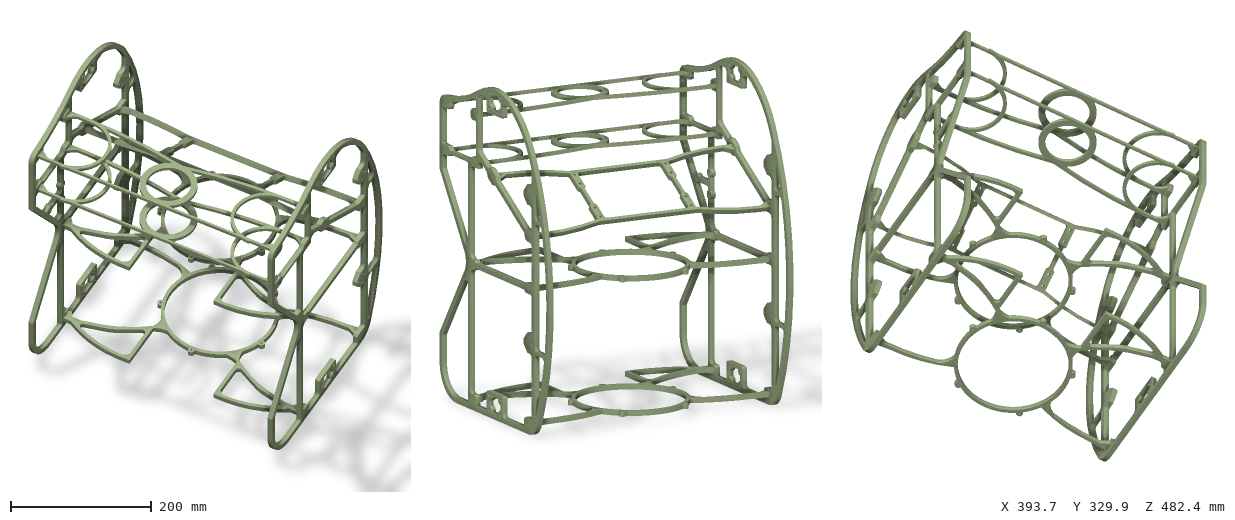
import cadquery as cq
import math

WIDTH = 393.7
DEPTH = 329.85
HEIGHT = 482.39
PLATE = 7.62
SHELF = 5.08
WALL_X = WIDTH / 2 - PLATE
RIM = 8.0
HALF_BAR = PLATE / 2

PEAK_Y = 162.7
CROWN_R, CROWN_END = 112.4, 0.557
SHOULDER_R, SHOULDER_END = 153.55, 1.08
BACK_R = 452.74
HEEL_R = 28.0
TOE_R = 50.8
BROW_R, BROW_END = 95.0, 0.47
SADDLE_R = 285.0
FRONT_TOP_R = 14.0
NOTCH_R = 25.4
NOTCH_ANGLE = math.radians(54.5)
MID_Z = 212.5
NOTCH_REACH = 85.0

BACK_COLUMN = (277.0, 286.5)
TOP_COLUMN = (110.0, 116.0)
FRONT_COLUMN = (86.0, 92.0)
TILT = math.radians(30)
TILT_Y, TILT_Z = 213.0, 320.3
UPPER_SHELF_Z = 432.2
LOWER_SHELF_Z = 361.7
LOWER_RING_Z = 16.0
SHELF_PAD = 8.3
LOWER_SHELF_PAD_BOTTOM = 355.4
RING_PAD = 7.4
SMALL_R = 3.0
ROOT_R = 6.0
EDGE_R = 1.0
CORNER_R, FLARE_R, TIP_R = 5.0, 9.0, 4.0
PAD_CHAMFER = 3.0
SHELF_TAB_CHAMFER = 4.0

MOUNT_Y = 267.8
MOUNT_ZS = (349.6, 133.3)
MOUNT_REACH, MOUNT_FLAT = 14.8, 3.9
MOUNT_HOLE_OFFSET = 9.3
SCREW_D = 3.6

WINDOW_Y = 165.8
WINDOW_ZS = (461.75, 20.65)
WINDOW_HALF_Y, WINDOW_HALF_Z = 17.6, 12.05
WINDOW_HOLE_Z = 10.9
WINDOW_BOSS_R = 7.0
FRAME_HALF_Y, FRAME_HALF_Z = 24.1, 17.5
CEILING_Z = 464.6

BRACE_Z = 284.8
BRACE_BOSS_Y, BRACE_BOSS_R, BRACE_HOLE_D = 50.9, 7.4, 3.6
BRACE_STEP = 1.8
COLUMN_BOSS_OFFSET, COLUMN_BOSS_R, COLUMN_HOLE_D = 15.875, 6.5, 5.5

FOOT_ENDS = (170.0, 143.5)
FOOT_FLAT = (163.0, 150.5)
FOOT_HALF = 9.2
TILT_TAB_TOP, TILT_TAB_TOP_Y = 298.5, 259.0
TILT_TAB_BOTTOM, TILT_TAB_Y = 280.0, 254.5
TILT_TAB_HEEL_Y, TILT_TAB_HEEL_Z = 259.0, 281.5
KNEE_Y = 126.0
RING_TAB_FRONT, RING_TAB_BACK = 108.3, 254.8
SHELF_TABS = (30.5, 93.5)
SLOT_TOP_Y, SLOT_TOP_Z = 103.0, 455.0
POCKET_TIP = 27.4
BACK_SLOTS = ((29.9, 119.8, 1.0, 6.0), (125.3, 310.7, 6.0, 6.0), (316.3, 362.6, 6.5, 1.0))

TAB_LENGTH = 14.0
SHELF_FRONT_Y, SHELF_BACK_Y = 13.9, 112.0
SHELF_BAR = 3.6
SHELF_FRONT_TAB_Y, SHELF_BACK_TAB_Y = 27.0, 97.5
TAB_DROP, FRONT_TAB_STEP = 3.5, 9.0
SHELF_RING = 5.08
BOW_START_X, BOW_R = 165.0, 820.0
SIDE_RING_X, SIDE_RING_Y, SIDE_RING_R = 152.5, 62.0, 49.8
MID_RING_Y, MID_RING_R, MID_BORE_R = 54.2, 41.275, 31.75

BIG_RING_Y, BIG_RING_R, BIG_BORE_R = 208.0, 84.2, 79.0
EAR_COUNT, EAR_CIRCLE_R, EAR_R, EAR_HOLE_D = 5, 85.5, 5.0, 3.0
BAR_X, BAR_END_Y, BAR_FOOT_X = 70.5, 62.8, 88.0
ARM = 5.5
ARM_TAB_X, ARM_TAB_BACK_Y = 184.0, 106.0
ARM_TAB_FRONT_X, ARM_TAB_FRONT_Y = 177.0, 89.5
ARM_NECK_X, ARM_RISE_X, ARM_NECK_Y = 178.0, 165.0, 97.5
NODE_END_Y = 133.0
OPENING_BAR_Y = (74.5, 119.0)
REAR_TAB_Y = (259.5, 273.0)

ARM_BACK_CURVE = [(-142.7, 102.5), (-111, 113), (-81.6, 128.7), (-70, 136.5)]
ARM_FRONT_MIDDLE = (-133, 69.8)
NODE_BACK_ARC = [(-66, 148), (-73, 170)]
NODE_FRONT_ARC = [(-40, 137), (-54, 138)]
OPENING_BACK_CURVE = [(-160.3, 93), (-141, 97.6), (-118.6, 103.5), (-94.5, 115.8), (-82, 122.5)]
OPENING_BACK_CORNER = (-76, 123)
OPENING_FRONT_CORNER = (-77, 70)
OPENING_FRONT_ARC = [(-86, 67.6), (-122.4, 72.4), (-157.6, 85)]
OPENING_TIP = (-161.5, 89.5)
REAR_ARM_BACK_ARC = [(-165, 271), (-120, 267), (-70, 252)]
REAR_NODE_ARC = [(-79, 230), (-83.5, 247.5), (-95, 257)]
REAR_ARM_FRONT_ARC = [(-135, 264), (-176, 266)]

POST_X, POST_WIDE, POST_NARROW = 73.3, 11.1, 5.08
POST_NECK = 19.4
POST_HOLE_MID, POST_HOLE_PITCH, POST_HOLE_D = 35.1, 19.05, 4.0
RAIL = 5.08
RAIL_OUTER, ARM_OUTER = 53.7, 67.3
ARM_BEND_X = 173.0
ARM_BOW_X, ARM_BOW = 122.4, 63.3
POST_GUSSET = 2.5
FRAME_TAB, FRAME_TAB_STEP = 12.0, 9.0


def rounded_outline(plane, points):
    """Closed outline through (u, v, radius) corners, each rounded by its radius."""
    starts, middles, ends = [], [], []
    count = len(points)
    for i, (u, v, radius) in enumerate(points):
        corner = cq.Vector(u, v)
        before = (cq.Vector(*points[i - 1][:2]) - corner).normalized()
        after = (cq.Vector(*points[(i + 1) % count][:2]) - corner).normalized()
        half = before.getAngle(after) / 2
        setback = radius / math.tan(half)
        bisector = (before + after).normalized()
        starts.append(corner + before * setback)
        ends.append(corner + after * setback)
        middles.append(corner + bisector * (radius / math.sin(half) - radius))
    path = cq.Workplane(plane).moveTo(*ends[-1].toTuple()[:2])
    for i in range(count):
        path = path.lineTo(*starts[i].toTuple()[:2])
        if points[i][2] > 0:
            path = path.threePointArc(middles[i].toTuple()[:2], ends[i].toTuple()[:2])
    return path.close()


def panel_prism(points):
    return rounded_outline("YZ", points).extrude(PLATE)


def panel_discs(centres, diameter):
    return cq.Workplane("YZ").pushPoints(centres).circle(diameter / 2).extrude(PLATE)


def polar(centre, radius, angle):
    """Point on a circle, with the angle measured from straight up toward the back."""
    return (centre[0] + radius * math.sin(angle), centre[1] + radius * math.cos(angle))


def mirrored(half):
    return half.union(half.mirror("YZ"))


def panel_outline():
    crown = (PEAK_Y, HEIGHT - CROWN_R)
    shoulder = polar(crown, CROWN_R - SHOULDER_R, CROWN_END)
    back_z = polar(shoulder, SHOULDER_R - BACK_R, SHOULDER_END)[1]
    back = (DEPTH - BACK_R, back_z)
    heel_drop = back_z - HEEL_R
    heel = (back[0] + math.sqrt((BACK_R - HEEL_R) ** 2 - heel_drop ** 2), HEEL_R)
    heel_start = math.atan2(heel[0] - back[0], heel[1] - back[1])

    brow = (PEAK_Y, HEIGHT - BROW_R)
    saddle = polar(brow, BROW_R + SADDLE_R, -BROW_END)
    corner_reach = SADDLE_R + FRONT_TOP_R
    corner_drop = math.sqrt(corner_reach ** 2 - (FRONT_TOP_R - saddle[0]) ** 2)
    corner = (FRONT_TOP_R, saddle[1] - corner_drop)
    saddle_end = math.atan2(corner[0] - saddle[0], corner[1] - saddle[1])
    saddle_start = math.pi - BROW_END

    notch = (NOTCH_REACH - NOTCH_R / math.sin(NOTCH_ANGLE), MID_Z)
    notch_rise = NOTCH_REACH * math.tan(NOTCH_ANGLE)
    tangent_y = notch[0] + NOTCH_R * math.sin(NOTCH_ANGLE)
    tangent_z = NOTCH_R * math.cos(NOTCH_ANGLE)

    def arc(path, centre, radius, start, end):
        return path.threePointArc(polar(centre, radius, (start + end) / 2), polar(centre, radius, end))

    path = cq.Workplane("YZ").moveTo(PEAK_Y, HEIGHT)
    path = arc(path, crown, CROWN_R, 0, CROWN_END)
    path = arc(path, shoulder, SHOULDER_R, CROWN_END, SHOULDER_END)
    path = arc(path, back, BACK_R, SHOULDER_END, heel_start)
    path = arc(path, heel, HEEL_R, heel_start, math.pi)
    path = path.lineTo(TOE_R, 0)
    path = arc(path, (TOE_R, TOE_R), TOE_R, math.pi, 1.5 * math.pi)
    path = path.lineTo(0, MID_Z - notch_rise).lineTo(tangent_y, MID_Z - tangent_z)
    path = path.threePointArc((notch[0] + NOTCH_R, MID_Z), (tangent_y, MID_Z + tangent_z))
    path = path.lineTo(0, MID_Z + notch_rise).lineTo(0, corner[1])
    path = arc(path, corner, FRONT_TOP_R, -math.pi / 2, saddle_end - math.pi)
    path = arc(path, saddle, SADDLE_R, saddle_end, saddle_start)
    path = arc(path, brow, BROW_R, -BROW_END, 0)
    return path.close()


def on_tilt(y, offset=0.0, side=0):
    """Point on the tilted bar's centre line at y, moved off it; side=1 or -1 keeps the same y."""
    z = TILT_Z + (TILT_Y - y) * math.tan(TILT)
    if side:
        return (y, z + side * HALF_BAR / math.cos(TILT))
    return (y + offset * math.sin(TILT), z + offset * math.cos(TILT))


def tilt_foot(side):
    """Swelling of the tilted bar around the front feet of the tilted frame, rear end first."""
    return [
        (*on_tilt(FOOT_ENDS[0], side * HALF_BAR), EDGE_R),
        (*on_tilt(FOOT_FLAT[0], side * FOOT_HALF), ROOT_R),
        (*on_tilt(FOOT_FLAT[1], side * FOOT_HALF), ROOT_R),
        (*on_tilt(FOOT_ENDS[1], side * HALF_BAR), EDGE_R),
    ]


def diamond_mount(mid_z):
    """Pocket corners that leave the diamond mount on the back column, top to bottom."""
    root_y, top_y, tip_y = BACK_COLUMN[0], MOUNT_Y - MOUNT_FLAT, MOUNT_Y - MOUNT_REACH
    upper = [
        (root_y, mid_z + MOUNT_REACH, ROOT_R),
        (top_y, mid_z + MOUNT_REACH, 0),
        (tip_y, mid_z + MOUNT_FLAT, 0),
    ]
    lower = [(y, 2 * mid_z - z, radius) for y, z, radius in reversed(upper)]
    return upper + lower


def window_frame(base_z, lip_z):
    """Pocket corners that leave the frame around a window, front to back."""
    front_y, back_y = WINDOW_Y - FRAME_HALF_Y, WINDOW_Y + FRAME_HALF_Y
    return [
        (front_y, base_z, ROOT_R),
        (front_y, lip_z, SMALL_R),
        (back_y, lip_z, SMALL_R),
        (back_y, base_z, ROOT_R),
    ]


def notch_side(z):
    """Y of the band's inner edge along the notch sides at height z."""
    rise = abs(z - MID_Z) / math.tan(NOTCH_ANGLE)
    return NOTCH_REACH - rise + RIM / math.sin(NOTCH_ANGLE)


def upper_back_pocket():
    column = BACK_COLUMN[0]
    front = TOP_COLUMN[1]
    lip_z = WINDOW_ZS[0] - FRAME_HALF_Z
    points = [(column, CEILING_Z, 0)]
    points += diamond_mount(MOUNT_ZS[0])
    points += [(column, TILT_TAB_TOP, EDGE_R), (*on_tilt(TILT_TAB_TOP_Y, side=1), ROOT_R)]
    points += tilt_foot(1)
    points += [(*on_tilt(front, side=1), FLARE_R), (front, CEILING_Z, CORNER_R)]
    return panel_prism(points + window_frame(CEILING_Z, lip_z))


def middle_pocket():
    column, front = BACK_COLUMN[0], FRONT_COLUMN[1]
    pad_top = MID_Z + RING_PAD
    bar_top = MID_Z + HALF_BAR
    points = [(column, TILT_TAB_BOTTOM, ROOT_R), (TILT_TAB_HEEL_Y, TILT_TAB_HEEL_Z, ROOT_R)]
    points += [(*on_tilt(TILT_TAB_Y, side=-1), EDGE_R)]
    points += tilt_foot(-1)
    points += [
        (*on_tilt(KNEE_Y, side=-1), ROOT_R),
        (TOP_COLUMN[1], on_tilt(KNEE_Y, side=-1)[1], ROOT_R),
        (TOP_COLUMN[1], LOWER_SHELF_PAD_BOTTOM, 0),
        (front, LOWER_SHELF_PAD_BOTTOM, CORNER_R),
        (front, pad_top, FLARE_R),
        (RING_TAB_FRONT - PAD_CHAMFER, pad_top, EDGE_R / 2),
        (RING_TAB_FRONT, bar_top, EDGE_R / 2),
        (RING_TAB_BACK, bar_top, EDGE_R / 2),
        (RING_TAB_BACK + PAD_CHAMFER, pad_top, EDGE_R / 2),
        (column, pad_top, SMALL_R),
    ]
    return panel_prism(points)


def lower_pocket():
    column, front = BACK_COLUMN[0], FRONT_COLUMN[1]
    pad_bottom = MID_Z - RING_PAD
    bar_bottom = MID_Z - HALF_BAR
    pad_top = LOWER_RING_Z + RING_PAD
    points = [
        (RING_TAB_BACK, bar_bottom, EDGE_R / 2),
        (RING_TAB_FRONT, bar_bottom, EDGE_R / 2),
        (RING_TAB_FRONT - PAD_CHAMFER, pad_bottom, EDGE_R / 2),
        (front, pad_bottom, FLARE_R),
        (front, pad_top, ROOT_R),
        (RING_TAB_FRONT - PAD_CHAMFER, pad_top, EDGE_R / 2),
        (RING_TAB_FRONT, pad_top - PAD_CHAMFER, EDGE_R / 2),
        (RING_TAB_FRONT, RIM, 0),
    ]
    points += window_frame(RIM, WINDOW_ZS[1] + FRAME_HALF_Z)
    points += [
        (RING_TAB_BACK, RIM, 0),
        (RING_TAB_BACK, pad_top - PAD_CHAMFER, EDGE_R / 2),
        (RING_TAB_BACK + PAD_CHAMFER, pad_top, EDGE_R / 2),
        (column, pad_top, SMALL_R),
    ]
    points += reversed(diamond_mount(MOUNT_ZS[1]))
    points += [(column, pad_bottom, SMALL_R), (RING_TAB_BACK + PAD_CHAMFER, pad_bottom, EDGE_R / 2)]
    return panel_prism(points)


def front_box_pocket():
    column = TOP_COLUMN[0]
    floor = LOWER_SHELF_Z + SHELF_PAD
    under = UPPER_SHELF_Z - SHELF_PAD
    over = UPPER_SHELF_Z + SHELF_PAD
    bar_top = LOWER_SHELF_Z + SHELF / 2
    back_tip, front_tip = SHELF_TABS[1], SHELF_TABS[0]
    points = [
        (column, floor, SMALL_R),
        (back_tip + SHELF_TAB_CHAMFER, floor, EDGE_R),
        (back_tip - EDGE_R, bar_top, 0),
        (front_tip + EDGE_R, bar_top, 0),
        (front_tip - SHELF_TAB_CHAMFER, floor, EDGE_R),
        (RIM, floor, SMALL_R),
        (RIM, under, SMALL_R),
        (front_tip - PAD_CHAMFER, under, EDGE_R),
        (front_tip, under + SHELF_TAB_CHAMFER, 0),
        (front_tip, HEIGHT, 0),
        (SLOT_TOP_Y, HEIGHT, 0),
        (SLOT_TOP_Y, SLOT_TOP_Z, 0),
        (column, SLOT_TOP_Z, SMALL_R),
        (column, over, SMALL_R),
        (back_tip + SHELF_TAB_CHAMFER, over, EDGE_R),
        (back_tip, over - SHELF_TAB_CHAMFER, 0),
        (back_tip, under + SHELF_TAB_CHAMFER, 0),
        (back_tip + SHELF_TAB_CHAMFER, under, EDGE_R),
        (column, under, SMALL_R),
    ]
    return panel_prism(points)


def front_pockets(braced):
    """Pockets between the front column and the notch sides, split by the brace on a braced panel."""
    column = FRONT_COLUMN[0]
    bar_bottom = LOWER_SHELF_Z - SHELF / 2
    corner_rise = (NOTCH_REACH + RIM / math.sin(NOTCH_ANGLE) - RIM) * math.tan(NOTCH_ANGLE)
    upper_tip, lower_tip = MID_Z + POCKET_TIP, MID_Z - POCKET_TIP
    above = [
        (column, bar_bottom, SMALL_R),
        (SHELF_TABS[0], bar_bottom, 0),
        (SHELF_TABS[0] - PAD_CHAMFER, LOWER_SHELF_PAD_BOTTOM, EDGE_R),
        (RIM, LOWER_SHELF_PAD_BOTTOM, ROOT_R),
        (RIM, MID_Z + corner_rise, 0),
    ]
    tip = [(notch_side(upper_tip), upper_tip, TIP_R), (column, upper_tip, TIP_R)]
    below = [
        (column, lower_tip, TIP_R),
        (notch_side(lower_tip), lower_tip, TIP_R),
        (RIM, MID_Z - corner_rise, 0),
        (RIM, RIM, TOE_R - RIM),
        (column, RIM, SMALL_R),
    ]
    if not braced:
        return [panel_prism(above + tip), panel_prism(below)]

    brace_top, brace_bottom = BRACE_Z + HALF_BAR, BRACE_Z - HALF_BAR
    step_top = brace_top + BRACE_STEP
    brace_edge = [
        (notch_side(step_top), step_top, 0),
        (BRACE_BOSS_Y, step_top, 0),
        (BRACE_BOSS_Y, brace_top, 0),
        (column, brace_top, SMALL_R),
    ]
    between = [(column, brace_bottom, SMALL_R), (notch_side(brace_bottom), brace_bottom, SMALL_R)]
    return [panel_prism(above + brace_edge), panel_prism(between + tip), panel_prism(below)]


def back_slots(inside):
    """Three slots between the back column and the curved back."""
    slots = []
    for bottom, top, bottom_r, top_r in BACK_SLOTS:
        box = cq.Workplane("YZ").moveTo(BACK_COLUMN[1], bottom).lineTo(DEPTH, bottom)
        box = box.lineTo(DEPTH, top).lineTo(BACK_COLUMN[1], top).close().extrude(PLATE)
        slot = box.intersect(inside)
        slot = slot.edges("|X").edges("<Z").fillet(bottom_r)
        slot = slot.edges("|X").edges(">Z").fillet(top_r)
        slots.append(slot)
    return slots


def window(mid_z):
    """Window opening that stays clear of the four screw bosses at its corners."""
    opening = cq.Workplane("YZ").center(WINDOW_Y, mid_z).rect(2 * WINDOW_HALF_Y, 2 * WINDOW_HALF_Z)
    return opening.extrude(PLATE).cut(panel_discs(window_screws(mid_z), 2 * WINDOW_BOSS_R))


def window_screws(mid_z):
    return [
        (WINDOW_Y + side * WINDOW_HALF_Y, mid_z + end * WINDOW_HOLE_Z)
        for side in (-1, 1)
        for end in (-1, 1)
    ]


def mount_screws(mid_z):
    reach = MOUNT_HOLE_OFFSET
    offsets = [(reach, 0), (-reach, 0), (0, reach), (0, -reach)]
    return [(MOUNT_Y + y, mid_z + z) for y, z in offsets]


def add_hinge_bosses(panel):
    """Bored bosses on the front column and on the brace between them."""
    column_y = sum(FRONT_COLUMN) / 2
    column_holes = [(column_y, BRACE_Z + side * COLUMN_BOSS_OFFSET) for side in (-1, 1)]
    brace_hole = [(BRACE_BOSS_Y, BRACE_Z)]
    panel = panel.union(panel_discs(column_holes, 2 * COLUMN_BOSS_R))
    panel = panel.union(panel_discs(brace_hole, 2 * BRACE_BOSS_R))
    panel = panel.cut(panel_discs(column_holes, COLUMN_HOLE_D))
    return panel.cut(panel_discs(brace_hole, BRACE_HOLE_D))


def side_panel(braced):
    """Side panel standing on the YZ plane, its thickness toward +X."""
    panel = panel_outline().extrude(PLATE)
    inside = panel_outline().offset2D(-RIM).extrude(PLATE)
    pockets = [upper_back_pocket(), middle_pocket(), lower_pocket(), front_box_pocket()]
    for pocket in pockets + front_pockets(braced):
        panel = panel.cut(pocket.intersect(inside))
    for slot in back_slots(inside):
        panel = panel.cut(slot)
    if braced:
        panel = add_hinge_bosses(panel)
    for mid_z in WINDOW_ZS:
        panel = panel.cut(window(mid_z)).cut(panel_discs(window_screws(mid_z), SCREW_D))
    for mid_z in MOUNT_ZS:
        panel = panel.cut(panel_discs(mount_screws(mid_z), SCREW_D))
    return panel


def shelf(mid_z):
    """Shelf with a middle ring and a half ring at each wall between a front and a bowed rear bar."""
    plane = cq.Workplane("XY").workplane(offset=mid_z - SHELF / 2)

    front_bar = plane.center(0, SHELF_FRONT_Y + SHELF_BAR / 2).rect(2 * WALL_X, SHELF_BAR).extrude(SHELF)
    bow_y = SHELF_BACK_Y - BOW_R
    bow = math.asin(BOW_START_X / BOW_R)
    inner_r = BOW_R - SHELF_RING
    inner_y = SHELF_BACK_Y - SHELF_RING
    outer_mid = (-BOW_START_X + BOW_R * math.sin(bow / 2), bow_y + BOW_R * math.cos(bow / 2))
    inner_mid = (-BOW_START_X + inner_r * math.sin(bow / 2), bow_y + inner_r * math.cos(bow / 2))
    inner_end = bow_y + math.sqrt(inner_r ** 2 - BOW_START_X ** 2)
    rear_half = (
        plane.moveTo(-WALL_X, SHELF_BACK_Y)
        .lineTo(-BOW_START_X, SHELF_BACK_Y)
        .threePointArc(outer_mid, (0, bow_y + BOW_R * math.cos(bow)))
        .lineTo(0, inner_end)
        .threePointArc(inner_mid, (-BOW_START_X, inner_y))
        .lineTo(-WALL_X + TAB_LENGTH, inner_y)
        .lineTo(-WALL_X + TAB_LENGTH / 2, inner_y - TAB_DROP)
        .lineTo(-WALL_X, SHELF_BACK_TAB_Y)
        .close()
        .extrude(SHELF)
    )
    front_tab = (
        plane.moveTo(-WALL_X, SHELF_FRONT_Y)
        .lineTo(-WALL_X, SHELF_FRONT_TAB_Y)
        .lineTo(-WALL_X + TAB_LENGTH / 2, SHELF_FRONT_Y + FRONT_TAB_STEP)
        .lineTo(-WALL_X + TAB_LENGTH, SHELF_FRONT_Y + SHELF_BAR)
        .lineTo(-WALL_X + TAB_LENGTH, SHELF_FRONT_Y)
        .close()
        .extrude(SHELF)
    )
    ring_plane = plane.center(-SIDE_RING_X, SIDE_RING_Y)
    side_ring = ring_plane.circle(SIDE_RING_R).circle(SIDE_RING_R - SHELF_RING).extrude(SHELF)
    open_half = plane.center(-SIDE_RING_X - SIDE_RING_R, SIDE_RING_Y)
    side_ring = side_ring.cut(open_half.rect(2 * SIDE_RING_R, 3 * SIDE_RING_R).extrude(SHELF))

    shape = front_bar.union(mirrored(rear_half.union(front_tab).union(side_ring)))
    shape = shape.union(plane.center(0, MID_RING_Y).circle(MID_RING_R).extrude(SHELF))
    shape = shape.cut(plane.center(0, MID_RING_Y).circle(MID_BORE_R).extrude(SHELF))
    ahead = plane.center(0, SHELF_FRONT_Y - MID_RING_R / 2).rect(2 * MID_RING_R, MID_RING_R)
    return shape.cut(ahead.extrude(SHELF))


def ring_plate(mid_z):
    """Large ring with five screw ears, two rear arms and two front arms with open triangles."""
    plane = cq.Workplane("XY").workplane(offset=mid_z - PLATE / 2)
    front_arm = (
        plane.moveTo(-WALL_X, ARM_TAB_BACK_Y)
        .lineTo(-ARM_TAB_X, ARM_TAB_BACK_Y)
        .lineTo(-ARM_NECK_X, ARM_NECK_Y)
        .lineTo(-ARM_RISE_X, ARM_NECK_Y)
        .spline(ARM_BACK_CURVE, includeCurrent=True)
        .threePointArc(*NODE_BACK_ARC)
        .lineTo(*NODE_FRONT_ARC[0])
        .threePointArc(NODE_FRONT_ARC[1], (-BAR_X + ARM / 2, NODE_END_Y))
        .lineTo(-BAR_X + ARM / 2, BAR_END_Y)
        .lineTo(-BAR_FOOT_X, BAR_END_Y)
        .threePointArc(ARM_FRONT_MIDDLE, (-ARM_TAB_FRONT_X, ARM_TAB_FRONT_Y))
        .lineTo(-WALL_X, ARM_TAB_FRONT_Y)
        .close()
        .extrude(PLATE)
    )
    opening = (
        plane.moveTo(*OPENING_BACK_CURVE[0])
        .spline(OPENING_BACK_CURVE[1:], includeCurrent=True)
        .threePointArc(OPENING_BACK_CORNER, (-BAR_X - ARM / 2, OPENING_BAR_Y[1]))
        .lineTo(-BAR_X - ARM / 2, OPENING_BAR_Y[0])
        .threePointArc(OPENING_FRONT_CORNER, OPENING_FRONT_ARC[0])
        .threePointArc(*OPENING_FRONT_ARC[1:])
        .threePointArc(OPENING_TIP, OPENING_BACK_CURVE[0])
        .close()
        .extrude(PLATE)
    )
    rear_arm = (
        plane.moveTo(-WALL_X, REAR_TAB_Y[1])
        .lineTo(*REAR_ARM_BACK_ARC[0])
        .threePointArc(*REAR_ARM_BACK_ARC[1:])
        .lineTo(*REAR_NODE_ARC[0])
        .threePointArc(*REAR_NODE_ARC[1:])
        .threePointArc(*REAR_ARM_FRONT_ARC)
        .lineTo(-WALL_X, REAR_TAB_Y[0])
        .close()
        .extrude(PLATE)
    )
    ear_points = [
        polar((0, BIG_RING_Y), EAR_CIRCLE_R, math.pi + 2 * math.pi * i / EAR_COUNT)
        for i in range(EAR_COUNT)
    ]
    shape = plane.center(0, BIG_RING_Y).circle(BIG_RING_R).extrude(PLATE)
    for arm in (front_arm.cut(opening), rear_arm):
        shape = shape.union(arm).union(arm.mirror("YZ"))
    shape = shape.union(plane.pushPoints(ear_points).circle(EAR_R).extrude(PLATE))
    shape = shape.cut(plane.center(0, BIG_RING_Y).circle(BIG_BORE_R).extrude(PLATE))
    return shape.cut(plane.pushPoints(ear_points).circle(EAR_HOLE_D / 2).extrude(PLATE))


def tilted_frame():
    """Rectangular frame with bowed arms to the walls, drawn flat and tipped up toward the front."""
    plane = cq.Workplane("XY").workplane(offset=-PLATE / 2)
    wide_x = POST_X + POST_WIDE / 2
    rail = (
        plane.moveTo(-WALL_X, ARM_OUTER)
        .lineTo(-ARM_BEND_X, ARM_OUTER)
        .threePointArc((-ARM_BOW_X, ARM_BOW), (-wide_x, RAIL_OUTER))
        .lineTo(0, RAIL_OUTER)
        .lineTo(0, RAIL_OUTER - RAIL)
        .lineTo(-POST_X + POST_WIDE / 2 + POST_GUSSET, RAIL_OUTER - RAIL)
        .lineTo(-POST_X + POST_WIDE / 2, RAIL_OUTER - RAIL - POST_GUSSET)
        .lineTo(-POST_X + POST_WIDE / 2, POST_NECK)
        .lineTo(-POST_X + POST_NARROW / 2, POST_NECK - PAD_CHAMFER)
        .lineTo(-POST_X + POST_NARROW / 2, 0)
        .lineTo(-POST_X - POST_NARROW / 2, 0)
        .lineTo(-POST_X - POST_NARROW / 2, POST_NECK - PAD_CHAMFER)
        .lineTo(-wide_x, POST_NECK)
        .lineTo(-wide_x, RAIL_OUTER - RAIL)
        .threePointArc((-ARM_BOW_X, ARM_BOW - RAIL), (-ARM_BEND_X, ARM_OUTER - RAIL))
        .lineTo(-WALL_X + TAB_LENGTH, ARM_OUTER - RAIL)
        .lineTo(-WALL_X + TAB_LENGTH / 2, ARM_OUTER - FRAME_TAB_STEP)
        .lineTo(-WALL_X, ARM_OUTER - FRAME_TAB)
        .close()
        .extrude(PLATE)
    )
    quarter_holes = [(-POST_X, POST_HOLE_MID + side * POST_HOLE_PITCH / 2) for side in (-1, 1)]
    rail = rail.cut(plane.pushPoints(quarter_holes).circle(POST_HOLE_D / 2).extrude(PLATE))
    half = rail.union(rail.mirror("XZ"))
    frame = mirrored(half)
    frame = frame.rotate((0, 0, 0), (1, 0, 0), -math.degrees(TILT))
    return frame.translate((0, TILT_Y, TILT_Z))


left_panel = side_panel(braced=True).translate((-WIDTH / 2, 0, 0))
right_panel = side_panel(braced=False).translate((WALL_X, 0, 0))
result = left_panel.union(right_panel)
for shelf_z in (UPPER_SHELF_Z, LOWER_SHELF_Z):
    result = result.union(shelf(shelf_z))
for ring_z in (MID_Z, LOWER_RING_Z):
    result = result.union(ring_plate(ring_z))
result = result.union(tilted_frame())